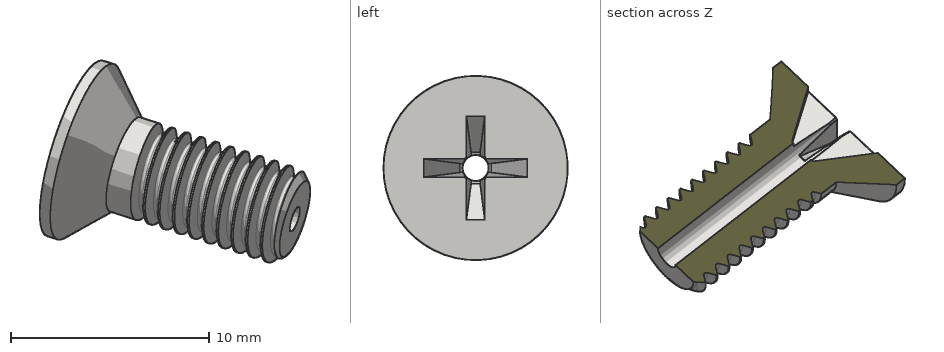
import cadquery as cq
import math

total_length = 12.0
head_diameter = 9.3
head_rim_thickness = 0.58
shank_diameter = 5.0
bore_diameter = 1.3

pitch = 0.8
flank_half_angle = math.radians(30)
crest_flat = pitch / 8
root_fillet = pitch * math.sqrt(3) / 12
sharp_groove_depth = (pitch - crest_flat) / 2 / math.tan(flank_half_angle)
thread_depth = sharp_groove_depth - root_fillet * (1 / math.sin(flank_half_angle) - 1)
thread_start_x = 4.1
thread_start_angle = 32.0
runout_angle = 125.0
groove_overlap = 0.15
sections_per_turn = 12

recess_depth = 2.75
recess_span_top = 5.22
recess_span_bottom = 1.58
slot_width_top = 0.92
slot_width_bottom = 0.45
recess_tip_angle = math.radians(15)
corner_bevel = 0.09

head_radius = head_diameter / 2
shank_radius = shank_diameter / 2
root_radius = shank_radius - thread_depth
head_height = head_rim_thickness + head_radius - shank_radius
tip_chamfer = thread_depth


def make_body():
    """Revolved blank: flat head, 45 degree countersink, shank and chamfered tip."""
    outline = [
        (0, 0),
        (0, head_radius),
        (head_rim_thickness, head_radius),
        (head_height, shank_radius),
        (total_length - tip_chamfer, shank_radius),
        (total_length, shank_radius - tip_chamfer),
        (total_length, 0),
    ]
    return cq.Workplane("XY").polyline(outline).close().revolve(360, (0, 0, 0), (1, 0, 0))


def groove_section(angle, lift):
    """Closed groove profile in the axial plane at an angle, raised radially by a lift."""
    centre_x = thread_start_x + pitch * (angle - thread_start_angle) / 360
    turn = math.radians(angle)
    radial = cq.Vector(0, math.cos(turn), math.sin(turn))

    def place(axial_offset, radius):
        return radial * (radius + lift) + cq.Vector(centre_x + axial_offset, 0, 0)

    root_half_width = root_fillet * math.cos(flank_half_angle)
    flank_end_radius = root_radius + root_fillet * (1 - math.sin(flank_half_angle))
    outer_radius = shank_radius + groove_overlap
    outer_half_width = root_half_width + (outer_radius - flank_end_radius) * math.tan(flank_half_angle)

    root_start = place(-root_half_width, flank_end_radius)
    root_bottom = place(0, root_radius)
    root_end = place(root_half_width, flank_end_radius)
    outer_end = place(outer_half_width, outer_radius)
    outer_start = place(-outer_half_width, outer_radius)
    return cq.Wire.assembleEdges([
        cq.Edge.makeThreePointArc(root_start, root_bottom, root_end),
        cq.Edge.makeLine(root_end, outer_end),
        cq.Edge.makeLine(outer_end, outer_start),
        cq.Edge.makeLine(outer_start, root_start),
    ])


def make_groove(first_angle, last_angle, first_lift, last_lift):
    """Helical cutter whose radial lift changes linearly along its length."""
    steps = math.ceil(sections_per_turn * (last_angle - first_angle) / 360)
    sections = []
    for i in range(steps + 1):
        fraction = i / steps
        angle = first_angle + fraction * (last_angle - first_angle)
        lift = first_lift + fraction * (last_lift - first_lift)
        sections.append(groove_section(angle, lift))
    return cq.Solid.makeLoft(sections)


def cut_thread(body):
    """Full-depth groove running out past the tip, and its fading start on the shank."""
    end_x = total_length + pitch
    end_angle = thread_start_angle + 360 * (end_x - thread_start_x) / pitch
    full_groove = make_groove(thread_start_angle, end_angle, 0, 0)
    runout = make_groove(thread_start_angle - runout_angle, thread_start_angle, thread_depth, 0)
    return body.cut(cq.Workplane(full_groove)).cut(cq.Workplane(runout))


def make_recess_blade():
    """One blade of the cross: tapered in span and in width, with a shallow pointed tip."""
    half_top = recess_span_top / 2
    half_bottom = recess_span_bottom / 2
    tip_depth = recess_depth + half_bottom * math.tan(recess_tip_angle)
    span_outline = [
        (0, half_top),
        (recess_depth, half_bottom),
        (tip_depth, 0),
        (recess_depth, -half_bottom),
        (0, -half_top),
    ]
    width_slope = (slot_width_top - slot_width_bottom) / 2 / recess_depth
    half_width_top = slot_width_top / 2
    half_width_tip = half_width_top - width_slope * tip_depth
    width_outline = [
        (0, half_width_top),
        (tip_depth, half_width_tip),
        (tip_depth, -half_width_tip),
        (0, -half_width_top),
    ]
    span = cq.Workplane("XY").polyline(span_outline).close().extrude(half_width_top, both=True)
    width = cq.Workplane("XZ").polyline(width_outline).close().extrude(half_top, both=True)
    return span.intersect(width)


def make_recess_core():
    """Tapered square post, turned 45 degrees, that bevels the inner corners of the cross."""
    side_top = (slot_width_top + corner_bevel) * math.sqrt(2)
    side_bottom = (slot_width_bottom + corner_bevel) * math.sqrt(2)
    taper = math.degrees(math.atan((side_top - side_bottom) / 2 / recess_depth))
    core = cq.Workplane("YZ").rect(side_top, side_top).extrude(recess_depth, taper=taper)
    return core.rotate((0, 0, 0), (1, 0, 0), 45)


def cut_recess(body):
    """Cross-shaped driver recess in the head face."""
    blade = make_recess_blade()
    for angle in (0, 90):
        body = body.cut(blade.rotate((0, 0, 0), (1, 0, 0), angle))
    return body.cut(make_recess_core())


def cut_bore(body):
    """Round bore along the whole axis."""
    bore = cq.Workplane("YZ").circle(bore_diameter / 2).extrude(total_length)
    return body.cut(bore)


result = cut_bore(cut_recess(cut_thread(make_body()))).solids()